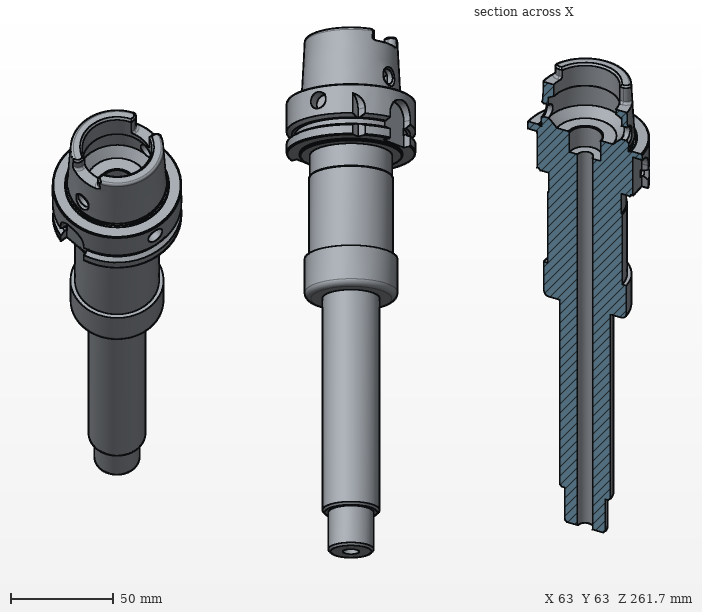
import cadquery as cq
import math


overall_length = 261.7

shank_length = 32.0
gauge_radius = 24.0
gauge_z = 6.3
shank_taper = 1 / 20
shank_base_radius = gauge_radius + shank_taper * gauge_z
shank_top_radius = shank_base_radius - shank_taper * shank_length
shank_top_fillet = 1.3
relief_radius = 23.9
relief_height = 1.5
face_recess_radius = 25.5
face_recess_depth = 0.6

flange_radius = 31.5
flange_thickness = 26.0
flange_chamfer = 0.5
groove_radius = 27.5
groove_center_z = -18.0
groove_half_mouth = 3.05
groove_bevel_radius = 29.0
groove_bevel_angle = 30.0
groove_bevel_height = (flange_radius - groove_bevel_radius) * math.tan(math.radians(groove_bevel_angle))
groove_half_floor = groove_half_mouth - groove_bevel_height

boss_radius = 25.2
boss_bottom_z = -27.05
boss_chamfer = 0.5
neck_radius = 20.2
neck_bottom_z = -38.3
neck_shoulder_chamfer = 0.5
body_radius = 20.6
collar_radius = 22.75
collar_top_z = -80.0
collar_bottom_z = -100.0
collar_fillet = 3.0
shaft_radius = 14.0
shaft_chamfer = 1.2
tip_radius = 22.3 / 2
tip_end_radius = 20.0 / 2
tip_chamfer_height = 1.2
tip_length = 20.0
bottom_z = shank_length - overall_length
tip_top_z = bottom_z + tip_length

bore_radius = 17.0
bore_chamfer = 1.1
clamp_lip_z = 19.0
undercut_radius = 40.0 / 2
undercut_angle = 30.0
undercut_drop = (undercut_radius - bore_radius) * math.tan(math.radians(undercut_angle))
undercut_top_z = clamp_lip_z - undercut_drop
bore_floor_radius = 15.4
bore_floor_z = 1.0
undercut_bottom_z = bore_floor_z + undercut_radius - bore_floor_radius
counterbore_radius = 16.92 / 2
counterbore_depth = 12.0
counterbore_chamfer = 0.5
through_radius = 8.0 / 2

slot_half_width = 12.54 / 2
slot_flare_radius = 3.0
slot_flare_y = 20.75
slot_floor_fillet = 1.3
slot_chamfer = 1.0
front_slot_depth = 6.0
back_slot_depth = 10.0

cross_hole_radius = 7.5 / 2
cross_hole_mouth_radius = 9.6 / 2
cross_hole_z = 9.2

notch_floor_y = 26.5
notch_arch_z = -12.6
front_notch_width = 16.0
back_notch_width = 18.0
index_notch_offset = 20.0
index_notch_arc_radius = 8.0
index_notch_arc_z = -11.9
chip_hole_radius = 8.5 / 2
chip_hole_depth = 6.0
chip_hole_z = -7.1
chip_hole_angle = 7.3

CLEARANCE = 10.0
ARC_MIDDLE = math.sqrt(0.5)


def outer_body():
    """Solid of revolution for the whole outside."""
    fillet_mid_inset = 1 - ARC_MIDDLE
    rim_fillet_mid = shank_top_fillet * fillet_mid_inset
    collar_fillet_mid = collar_fillet * fillet_mid_inset
    profile = (
        cq.Workplane("XZ")
        .moveTo(0, shank_length)
        .lineTo(shank_top_radius - shank_top_fillet, shank_length)
        .threePointArc(
            (shank_top_radius - rim_fillet_mid, shank_length - rim_fillet_mid),
            (shank_top_radius, shank_length - shank_top_fillet),
        )
        .lineTo(shank_base_radius, relief_height)
        .lineTo(relief_radius, relief_height - (shank_base_radius - relief_radius))
        .lineTo(relief_radius, -face_recess_depth)
        .lineTo(face_recess_radius - face_recess_depth, -face_recess_depth)
        .lineTo(face_recess_radius, 0)
        .lineTo(flange_radius - flange_chamfer, 0)
        .lineTo(flange_radius, -flange_chamfer)
        .lineTo(flange_radius, groove_center_z + groove_half_mouth)
        .lineTo(groove_bevel_radius, groove_center_z + groove_half_floor)
        .lineTo(groove_radius, groove_center_z + groove_half_floor)
        .lineTo(groove_radius, groove_center_z - groove_half_floor)
        .lineTo(groove_bevel_radius, groove_center_z - groove_half_floor)
        .lineTo(flange_radius, groove_center_z - groove_half_mouth)
        .lineTo(flange_radius, -flange_thickness + flange_chamfer)
        .lineTo(flange_radius - flange_chamfer, -flange_thickness)
        .lineTo(boss_radius, -flange_thickness)
        .lineTo(boss_radius, boss_bottom_z + boss_chamfer)
        .lineTo(boss_radius - boss_chamfer, boss_bottom_z)
        .lineTo(neck_radius, boss_bottom_z)
        .lineTo(neck_radius, neck_bottom_z)
        .lineTo(body_radius, neck_bottom_z - neck_shoulder_chamfer)
        .lineTo(body_radius, collar_top_z)
        .lineTo(collar_radius, collar_top_z)
        .lineTo(collar_radius, collar_bottom_z + collar_fillet)
        .threePointArc(
            (collar_radius - collar_fillet_mid, collar_bottom_z + collar_fillet_mid),
            (collar_radius - collar_fillet, collar_bottom_z),
        )
        .lineTo(shaft_radius, collar_bottom_z)
        .lineTo(shaft_radius, tip_top_z + shaft_chamfer)
        .lineTo(shaft_radius - shaft_chamfer, tip_top_z)
        .lineTo(tip_radius, tip_top_z)
        .lineTo(tip_radius, bottom_z + tip_chamfer_height)
        .lineTo(tip_end_radius, bottom_z)
        .lineTo(0, bottom_z)
        .close()
    )
    return profile.revolve(360, (0, 0, 0), (0, 1, 0))


def inner_bore():
    """Solid of revolution that hollows the part along its axis."""
    counterbore_floor_z = bore_floor_z - counterbore_depth
    profile = (
        cq.Workplane("XZ")
        .moveTo(0, shank_length)
        .lineTo(bore_radius + bore_chamfer, shank_length)
        .lineTo(bore_radius, shank_length - bore_chamfer)
        .lineTo(bore_radius, clamp_lip_z)
        .lineTo(undercut_radius, undercut_top_z)
        .lineTo(undercut_radius, undercut_bottom_z)
        .lineTo(bore_floor_radius, bore_floor_z)
        .lineTo(counterbore_radius + counterbore_chamfer, bore_floor_z)
        .lineTo(counterbore_radius, bore_floor_z - counterbore_chamfer)
        .lineTo(counterbore_radius, counterbore_floor_z)
        .lineTo(through_radius, counterbore_floor_z)
        .lineTo(through_radius, bottom_z)
        .lineTo(0, bottom_z)
        .close()
    )
    return profile.revolve(360, (0, 0, 0), (0, 1, 0))


def slot_outline(z, side, margin):
    """Plan outline of a drive slot, widened by margin, opening toward side * Y."""
    half_width = slot_half_width + margin
    flare_radius = slot_flare_radius - margin
    flare_start_y = slot_flare_y - slot_flare_radius
    flare_center_x = half_width + flare_radius
    flare_end_y = flare_start_y + flare_radius
    arc_x = flare_center_x - flare_radius * ARC_MIDDLE
    arc_y = flare_start_y + flare_radius * ARC_MIDDLE
    inner_y = bore_radius / 2
    outer_y = shank_base_radius + CLEARANCE
    outer_x = flare_center_x + CLEARANCE
    return (
        cq.Workplane("XY", origin=(0, 0, z))
        .moveTo(-half_width, side * inner_y)
        .lineTo(half_width, side * inner_y)
        .lineTo(half_width, side * flare_start_y)
        .threePointArc((arc_x, side * arc_y), (flare_center_x, side * flare_end_y))
        .lineTo(outer_x, side * flare_end_y)
        .lineTo(outer_x, side * outer_y)
        .lineTo(-outer_x, side * outer_y)
        .lineTo(-outer_x, side * flare_end_y)
        .lineTo(-flare_center_x, side * flare_end_y)
        .threePointArc((-arc_x, side * arc_y), (-half_width, side * flare_start_y))
        .close()
    )


def drive_slot(side, depth):
    """Rim slot with flared mouth, filleted floor and chamfered top edges."""
    slot = slot_outline(shank_length - depth, side, 0).extrude(depth)
    slot = slot.faces("<Z").edges().fillet(slot_floor_fillet)
    chamfer = slot_outline(shank_length - slot_chamfer, side, 0).extrude(slot_chamfer, taper=-45)
    return slot.union(chamfer)


def cross_hole():
    """Hole along Y through both shank walls, countersunk on the outside."""
    length = shank_base_radius + CLEARANCE
    hole = (
        cq.Workplane("XZ", origin=(0, 0, cross_hole_z))
        .circle(cross_hole_radius)
        .extrude(length, both=True)
    )
    wall_radius = shank_base_radius - shank_taper * cross_hole_z
    sink_depth = cross_hole_mouth_radius - cross_hole_radius
    for side in (-1, 1):
        cone = cq.Solid.makeCone(
            cross_hole_radius,
            cross_hole_mouth_radius + sink_depth,
            2 * sink_depth,
            cq.Vector(0, side * (wall_radius - sink_depth), cross_hole_z),
            cq.Vector(0, side, 0),
        )
        hole = hole.union(cq.Workplane(cone))
    return hole


def drive_notch(side, width):
    """Arched flat-floored notch in the flange, open at the bottom."""
    half_width = width / 2
    return (
        cq.Workplane("XZ", origin=(0, side * notch_floor_y, 0))
        .moveTo(-half_width, -flange_thickness)
        .lineTo(-half_width, notch_arch_z)
        .threePointArc((0, notch_arch_z + half_width), (half_width, notch_arch_z))
        .lineTo(half_width, -flange_thickness)
        .close()
        .extrude(-side * CLEARANCE)
    )


def index_notch():
    """Right-angled notch at the -X -Y corner, with an arc run-out at its top."""
    arc_mid = index_notch_arc_radius * ARC_MIDDLE
    arc_center_x = -index_notch_offset - index_notch_arc_radius
    return (
        cq.Workplane("XZ", origin=(0, -index_notch_offset, 0))
        .moveTo(-index_notch_offset, -flange_thickness)
        .lineTo(-index_notch_offset, index_notch_arc_z)
        .threePointArc(
            (arc_center_x + arc_mid, index_notch_arc_z + arc_mid),
            (arc_center_x, index_notch_arc_z + index_notch_arc_radius),
        )
        .lineTo(arc_center_x, -flange_thickness)
        .close()
        .extrude(flange_radius)
    )


def chip_hole(angle_degrees):
    """Blind radial hole in the flange rim, pointing outward at the given angle from +X."""
    angle = math.radians(angle_degrees)
    direction = cq.Vector(math.cos(angle), math.sin(angle), 0)
    floor_radius = flange_radius - chip_hole_depth
    start = direction * floor_radius + cq.Vector(0, 0, chip_hole_z)
    return cq.Workplane(
        cq.Solid.makeCylinder(chip_hole_radius, chip_hole_depth + CLEARANCE, start, direction)
    )


result = (
    outer_body()
    .cut(inner_bore())
    .cut(drive_slot(-1, front_slot_depth))
    .cut(drive_slot(1, back_slot_depth))
    .cut(cross_hole())
    .cut(drive_notch(-1, front_notch_width))
    .cut(drive_notch(1, back_notch_width))
    .cut(index_notch())
    .cut(chip_hole(-chip_hole_angle))
    .cut(chip_hole(180 + chip_hole_angle))
)